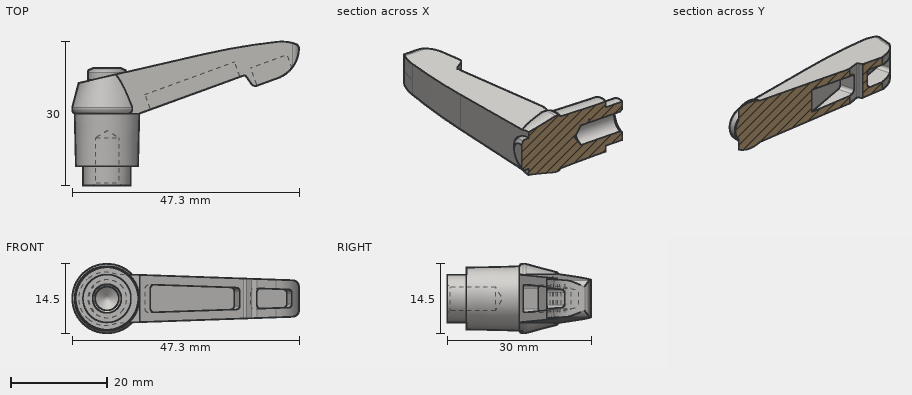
import cadquery as cq
import math


insert_diameter = 10.0
bore_diameter = 4.92
bore_mouth_diameter = 6.0
bore_depth = 10.0
drill_point_angle = 118.0

sleeve_start = 4.0
hub_start = 15.0
sleeve_start_radius = 6.5
sleeve_end_radius = 6.75
hub_radius = 7.25
hub_edge_height = 0.75
hub_band_height = 0.6
hub_cone_angle = 15.0
hub_blank_top = 26.0

head_diameter = 8.0
head_top = 24.5
head_bottom = 22.05
head_bevel_slope = 25.0
head_bevel_start = 23.96
head_edge_fillet = 0.5
neck_radius = 3.8

arm_reach = 40.0
arm_top = 30.0
arm_start_x = 0.0
top_slope = 13.0
top_height_at_axis = 22.72
top_arc_start_x = 20.0
top_arc_end = (35.2, 29.92)
crest_x = 36.6
shoulder = (39.15, 29.53)
tip_y = 28.6
nose_mid = (38.8, 24.9)
underside_start_x = 6.8
underside_slope = 20.0
notch_x = 28.75
notch_fillet = 0.5
catch_face_slope = 55.0
catch_face_length = 3.03
catch_underside_length = 4.9
catch_fillet = 1.0

half_width_at_axis = 5.18
side_draft = 2.0
tip_fillet = 1.5

pocket_wall = 1.95
pocket_corner_radius = 0.8
long_pocket_span = (9.03, 27.65)
long_pocket_depth = 3.4
short_pocket_span = (31.2, 38.8)
short_pocket_depth = 4.0

tan_top = math.tan(math.radians(top_slope))
tan_underside = math.tan(math.radians(underside_slope))
tan_draft = math.tan(math.radians(side_draft))


def top_height(x):
    return top_height_at_axis + x * tan_top


def underside_height(x):
    return hub_start + (x - underside_start_x) * tan_underside


def half_width(x):
    return half_width_at_axis - x * tan_draft


def step_along(start, length, angle):
    turn = math.radians(angle)
    return (start[0] + length * math.cos(turn), start[1] + length * math.sin(turn))


underside_start = (underside_start_x, hub_start)
notch_corner = (notch_x, underside_height(notch_x))
catch_corner = step_along(notch_corner, catch_face_length, -catch_face_slope)
nose_end = step_along(catch_corner, catch_underside_length, underside_slope)


def revolve_about_y(profile):
    return profile.close().revolve(360, (0, 0, 0), (0, 1, 0))


def make_hub():
    band_start = hub_start + hub_edge_height
    edge_width = hub_radius - sleeve_end_radius
    edge_arc_radius = (edge_width**2 + hub_edge_height**2) / (2 * edge_width)
    cone_start = band_start + hub_band_height
    cone_end_radius = hub_radius - (hub_blank_top - cone_start) * math.tan(math.radians(hub_cone_angle))
    profile = (
        cq.Workplane("XY")
        .lineTo(insert_diameter / 2, 0)
        .lineTo(insert_diameter / 2, sleeve_start)
        .lineTo(sleeve_start_radius, sleeve_start)
        .lineTo(sleeve_end_radius, hub_start)
        .radiusArc((hub_radius, band_start), -edge_arc_radius)
        .lineTo(hub_radius, cone_start)
        .lineTo(cone_end_radius, hub_blank_top)
        .lineTo(0, hub_blank_top)
    )
    above_slope = (
        cq.Workplane("XY")
        .moveTo(-2 * hub_radius, top_height(-2 * hub_radius))
        .lineTo(2 * hub_radius, top_height(2 * hub_radius))
        .lineTo(2 * hub_radius, 2 * hub_blank_top)
        .lineTo(-2 * hub_radius, 2 * hub_blank_top)
        .close()
        .extrude(2 * hub_radius, both=True)
    )
    return revolve_about_y(profile).cut(above_slope)


def make_screw_head():
    radius = head_diameter / 2
    slope = math.radians(head_bevel_slope)
    fillet_reach = head_edge_fillet * math.tan((math.pi / 2 - slope) / 2)
    fillet_start = (radius, head_bevel_start - fillet_reach)
    fillet_end = step_along((radius, head_bevel_start), fillet_reach, 180 - head_bevel_slope)
    bevel_height = head_top - head_bevel_start
    top_radius = radius - bevel_height / math.tan(slope)
    profile = (
        cq.Workplane("XY")
        .moveTo(0, hub_start)
        .lineTo(neck_radius, hub_start)
        .lineTo(neck_radius, head_bottom)
        .lineTo(radius, head_bottom)
        .lineTo(*fillet_start)
        .radiusArc(fillet_end, -head_edge_fillet)
        .lineTo(top_radius, head_top)
        .lineTo(0, head_top)
    )
    return revolve_about_y(profile)


def make_arm_outline():
    return (
        cq.Workplane("XY")
        .moveTo(arm_start_x, hub_start)
        .lineTo(arm_start_x, top_height(arm_start_x))
        .lineTo(top_arc_start_x, top_height(top_arc_start_x))
        .tangentArcPoint(top_arc_end, relative=False)
        .spline([(crest_x, arm_top), shoulder], includeCurrent=True)
        .tangentArcPoint((arm_reach, tip_y), relative=False)
        .threePointArc(nose_mid, nose_end)
        .lineTo(*catch_corner)
        .lineTo(*notch_corner)
        .lineTo(*underside_start)
        .close()
    )


def make_arm():
    blank = make_arm_outline().extrude(half_width_at_axis, both=True)
    for corner, radius in (
        (catch_corner, catch_fillet),
        (notch_corner, notch_fillet),
    ):
        blank = blank.edges(cq.NearestToPointSelector((*corner, 0))).fillet(radius)
    plan = (
        cq.Workplane("XZ")
        .moveTo(arm_start_x, -half_width(arm_start_x))
        .lineTo(arm_reach, -half_width(arm_reach))
        .lineTo(arm_reach, half_width(arm_reach))
        .lineTo(arm_start_x, half_width(arm_start_x))
        .close()
        .extrude(-2 * arm_top)
        .edges("|Y and >X")
        .fillet(tip_fillet)
    )
    return blank.intersect(plan)


def make_pocket(span, depth, face_point):
    """Pocket cutter square to the sloped underside; face_point lies on the face it is cut from."""
    start_x, end_x = span
    slope = math.radians(underside_slope)
    along_face = (math.cos(slope), math.sin(slope), 0)
    into_arm = (-math.sin(slope), math.cos(slope), 0)
    plane = cq.Plane(origin=(*face_point, 0), xDir=along_face, normal=into_arm)
    u_start = (start_x - face_point[0]) / math.cos(slope)
    u_end = (end_x - face_point[0]) / math.cos(slope)
    w_start = half_width(start_x) - pocket_wall
    w_end = half_width(end_x) - pocket_wall
    return (
        cq.Workplane(plane)
        .workplane(offset=-depth)
        .moveTo(u_start, -w_start)
        .lineTo(u_end, -w_end)
        .lineTo(u_end, w_end)
        .lineTo(u_start, w_start)
        .close()
        .extrude(2 * depth)
        .edges(cq.selectors.ParallelDirSelector(plane.zDir))
        .fillet(pocket_corner_radius)
    )


def make_bore():
    radius = bore_diameter / 2
    mouth_radius = bore_mouth_diameter / 2
    point_height = radius / math.tan(math.radians(drill_point_angle / 2))
    profile = (
        cq.Workplane("XY")
        .lineTo(mouth_radius, 0)
        .lineTo(radius, mouth_radius - radius)
        .lineTo(radius, bore_depth)
        .lineTo(0, bore_depth + point_height)
    )
    return revolve_about_y(profile)


result = make_hub().union(make_arm()).union(make_screw_head())
result = result.cut(make_pocket(long_pocket_span, long_pocket_depth, underside_start))
result = result.cut(make_pocket(short_pocket_span, short_pocket_depth, catch_corner))
result = result.cut(make_bore())